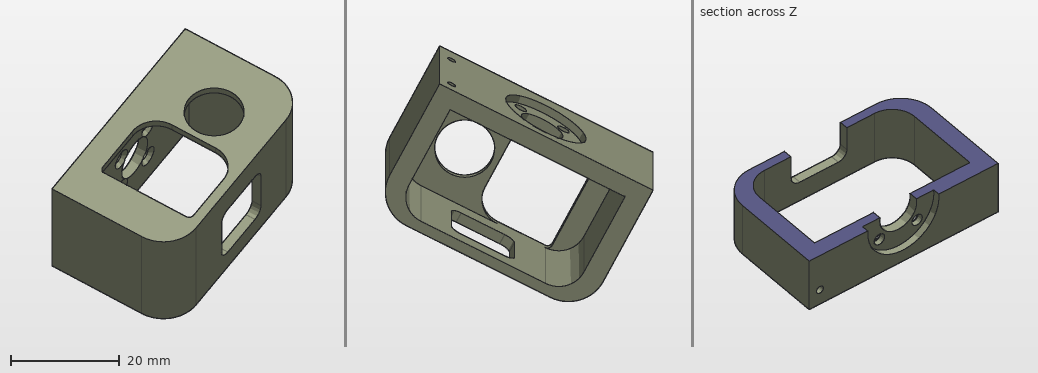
import cadquery as cq

length_x = 27.0
width_y = 44.2
height = 23.5
outer_corner_radius = 7.2

roof_thickness = 1.5
front_wall = 2.0
mount_wall = 3.5
end_wall = 4.0
cavity_corner_radius = outer_corner_radius - front_wall

half_x = length_x / 2
half_y = width_y / 2
cavity_height = height - roof_thickness
cavity_x_min = -half_x + mount_wall
cavity_x_max = half_x - front_wall
cavity_width_y = width_y - 2 * end_wall

round_hole_diameter = 11.0
round_hole_x = 1.5
round_hole_y = 9.1
roof_window_size_x = 20.0
roof_window_y_min = -13.75
roof_window_y_max = 2.35
roof_window_large_radius = 5.2
roof_window_small_radius = 1.0

mount_y = 0.1
mount_z = cavity_height / 2
recess_diameter = 16.6
recess_depth = 1.5
shaft_hole_diameter = 8.6
mount_screw_diameter = 2.4
mount_screw_spacing = 8.8
countersink_depth = 0.8

front_window_size_y = 13.0
front_window_size_z = 13.0
front_window_radius = 2.0

pilot_diameter = 1.6
pilot_depth = 6.0
pilot_end_distance = 2.5
pilot_spacing = 15.0


def block_between(x_min, x_max, y_min, y_max, z_min, z_max):
    """Return an axis-aligned box given by its limits."""
    size = (x_max - x_min, y_max - y_min, z_max - z_min)
    return cq.Workplane("XY").box(*size, centered=False).translate((x_min, y_min, z_min))


def bore_along_x(diameter, y, z, depth):
    """Return a cylinder that enters the -X face and runs toward +X."""
    start = cq.Vector(-half_x, y, z)
    return cq.Workplane(cq.Solid.makeCylinder(diameter / 2, depth, start, cq.Vector(1, 0, 0)))


def countersink(y, z):
    """Return a cone in the -X wall that widens toward the cavity."""
    start = cq.Vector(cavity_x_min - countersink_depth, y, z)
    small_radius = mount_screw_diameter / 2
    large_radius = small_radius + countersink_depth
    cone = cq.Solid.makeCone(small_radius, large_radius, countersink_depth, start, cq.Vector(1, 0, 0))
    return cq.Workplane(cone)


def make_shell():
    outer = block_between(-half_x, half_x, -half_y, half_y, 0, height)
    outer = outer.edges("|Z and >X").fillet(outer_corner_radius)
    cavity_half_y = cavity_width_y / 2
    cavity = block_between(cavity_x_min, cavity_x_max, -cavity_half_y, cavity_half_y, 0, cavity_height)
    cavity = cavity.edges("|Z and >X").fillet(cavity_corner_radius)
    return outer.cut(cavity)


def cut_roof_openings(body):
    round_hole = (
        cq.Workplane("XY", origin=(round_hole_x, round_hole_y, cavity_height))
        .circle(round_hole_diameter / 2)
        .extrude(roof_thickness)
    )
    window = block_between(
        cavity_x_max - roof_window_size_x, cavity_x_max,
        roof_window_y_min, roof_window_y_max,
        cavity_height, height,
    )
    window = window.edges("|Z and >Y").fillet(roof_window_large_radius)
    window = window.edges("|Z and <Y").fillet(roof_window_small_radius)
    return body.cut(round_hole).cut(window)


def cut_motor_mount(body):
    body = body.cut(bore_along_x(recess_diameter, mount_y, mount_z, recess_depth))
    body = body.cut(bore_along_x(shaft_hole_diameter, mount_y, mount_z, mount_wall))
    offset = mount_screw_spacing / 2
    for y in (mount_y - offset, mount_y + offset):
        for z in (mount_z - offset, mount_z + offset):
            body = body.cut(bore_along_x(mount_screw_diameter, y, z, mount_wall))
            body = body.cut(countersink(y, z))
    return body


def cut_front_window(body):
    half_window_y = front_window_size_y / 2
    half_window_z = front_window_size_z / 2
    window = block_between(
        cavity_x_max, half_x,
        mount_y - half_window_y, mount_y + half_window_y,
        mount_z - half_window_z, mount_z + half_window_z,
    )
    return body.cut(window.edges("|X").fillet(front_window_radius))


def cut_pilot_holes(body):
    pilot_y = half_y - pilot_end_distance
    for z in (mount_z - pilot_spacing / 2, mount_z + pilot_spacing / 2):
        body = body.cut(bore_along_x(pilot_diameter, pilot_y, z, pilot_depth))
    return body


result = make_shell()
result = cut_roof_openings(result)
result = cut_motor_mount(result)
result = cut_front_window(result)
result = cut_pilot_holes(result)
result = result.val().Solids()[0]